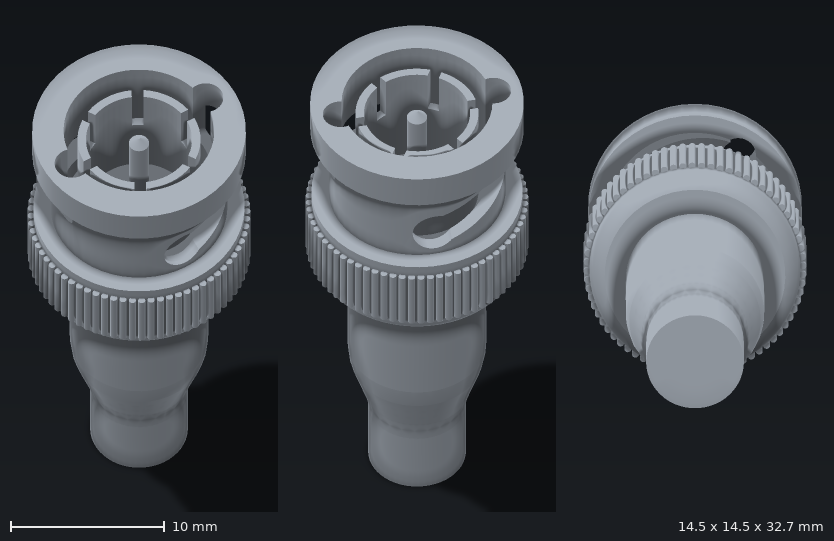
import cadquery as cq
import math

ferrule_shoulder_z = 17.17
nut_bottom_z = 18.0
knurl_bottom_z = 19.48
knurl_top_z = 23.6
collar_top_z = 24.38
head_bottom_z = 30.27
top_z = 32.69

collar_radius = 6.86
collar_rounding = 1.6
barrel_radius = 5.75
head_radius = 6.94
bore_radius = 4.9
bore_floor_z = collar_top_z

rib_count = 72
rib_radius = 0.23
knurl_radius = 7.24
rib_centre_radius = knurl_radius - rib_radius

slot_count = 2
channel_pitch = 9.5
channel_height = 2.55
channel_turn = 90.0
channel_rise = channel_pitch * channel_turn / 360
locking_hole_radius = 1.48
locking_hole_z = 26.37
entry_radius = 1.15
entry_centre_y = 5.08
entry_bottom_fillet = 0.4
entry_bottom_z = locking_hole_z + channel_rise - channel_height / 2
wall_clearance = 0.5

cable_radius = 3.175
ferrule_radius = 4.5
taper_bottom_z = 5.25
taper_top_z = 9.42
taper_blend_radius = 5.0
selection_margin = 1.0
neck_radius = 3.79

contact_outer_radius = 4.0
contact_inner_radius = 3.45
contact_top_z = 31.7
slit_count = 6
slit_width = 0.76
slit_bottom_z = 28.6

pin_radius = 0.66
pin_shoulder_z = 31.31
pin_tip_radius = 0.06
pin_tip_z = 31.86


def cylinder(radius, bottom_z, upper_z):
    """Upright cylinder on the main axis."""
    return cq.Workplane("XY", origin=(0, 0, bottom_z)).circle(radius).extrude(upper_z - bottom_z)


def make_knurl():
    """Ring of half-round ribs, each rooted in the collar."""
    return (
        cq.Workplane("XY", origin=(0, 0, knurl_bottom_z))
        .polarArray(rib_centre_radius, 0, 360, rib_count)
        .circle(rib_radius)
        .extrude(knurl_top_z - knurl_bottom_z)
    )


def make_bayonet_cutters():
    """Entry notch on the -Y side, helical channel, and locking hole on the -X side."""
    entry = (
        cq.Workplane("XY", origin=(0, -entry_centre_y, entry_bottom_z))
        .circle(entry_radius)
        .extrude(top_z - entry_bottom_z)
        .faces("<Z")
        .edges()
        .fillet(entry_bottom_fillet)
    )

    wall_middle_radius = (bore_radius + barrel_radius) / 2
    cutter_depth = barrel_radius - bore_radius + 2 * wall_clearance
    helix = cq.Wire.makeHelix(channel_pitch, channel_rise, wall_middle_radius, lefthand=True)
    channel = (
        cq.Workplane("XZ", origin=(wall_middle_radius, 0, 0))
        .rect(cutter_depth, channel_height)
        .sweep(cq.Workplane(helix), isFrenet=True)
        .rotate((0, 0, 0), (0, 0, 1), 180)
        .mirror("XZ")
        .translate((0, 0, locking_hole_z))
    )

    locking_hole = (
        cq.Workplane("YZ", origin=(-head_radius, 0, locking_hole_z))
        .circle(locking_hole_radius)
        .extrude(head_radius - contact_inner_radius)
    )
    return [entry, channel, locking_hole]


def make_collar():
    """Grip collar whose lower edge is rounded by an arc that is tangent to its side."""
    rounding_height = knurl_bottom_z - nut_bottom_z
    arc_centre_radius = collar_radius - collar_rounding
    bottom_radius = arc_centre_radius + math.sqrt(collar_rounding**2 - rounding_height**2)
    return (
        cq.Workplane("XZ")
        .moveTo(0, nut_bottom_z)
        .lineTo(bottom_radius, nut_bottom_z)
        .radiusArc((collar_radius, knurl_bottom_z), -collar_rounding)
        .lineTo(collar_radius, collar_top_z)
        .lineTo(0, collar_top_z)
        .close()
        .revolve(360, (0, 0, 0), (0, 1, 0))
    )


def make_coupling_nut():
    nut = (
        make_collar()
        .union(make_knurl())
        .union(cylinder(barrel_radius, collar_top_z, head_bottom_z))
        .union(cylinder(head_radius, head_bottom_z, top_z))
        .cut(cylinder(bore_radius, bore_floor_z, top_z))
        .cut(cylinder(neck_radius, nut_bottom_z, bore_floor_z))
    )
    cutters = make_bayonet_cutters()
    for index in range(slot_count):
        angle = index * 360 / slot_count
        for cutter in cutters:
            nut = nut.cut(cutter.rotate((0, 0, 0), (0, 0, 1), angle))
    return nut


def make_ferrule():
    """Cable sleeve that widens through a blended taper into the crimp ferrule."""
    ferrule = (
        cq.Workplane("XZ")
        .lineTo(cable_radius, 0)
        .lineTo(cable_radius, taper_bottom_z)
        .lineTo(ferrule_radius, taper_top_z)
        .lineTo(ferrule_radius, ferrule_shoulder_z)
        .lineTo(0, ferrule_shoulder_z)
        .close()
        .revolve(360, (0, 0, 0), (0, 1, 0))
    )
    taper_ends = cq.selectors.BoxSelector(
        (-head_radius, -head_radius, taper_bottom_z - selection_margin),
        (head_radius, head_radius, taper_top_z + selection_margin),
    )
    return ferrule.edges("%CIRCLE").edges(taper_ends).fillet(taper_blend_radius)


def make_contact_ring():
    """Outer contact sleeve, slit into spring fingers."""
    ring = cylinder(contact_outer_radius, bore_floor_z, contact_top_z).cut(
        cylinder(contact_inner_radius, bore_floor_z, contact_top_z)
    )
    slit_height = contact_top_z - slit_bottom_z
    for index in range(slit_count):
        slit = (
            cq.Workplane("XY", origin=(0, 0, slit_bottom_z))
            .center(0, (contact_outer_radius + contact_inner_radius) / 2)
            .rect(slit_width, 2 * (contact_outer_radius - contact_inner_radius))
            .extrude(slit_height)
            .rotate((0, 0, 0), (0, 0, 1), index * 360 / slit_count)
        )
        ring = ring.cut(slit)
    return ring


def make_pin():
    """Centre contact with a conical tip."""
    return (
        cq.Workplane("XZ")
        .moveTo(0, bore_floor_z)
        .lineTo(pin_radius, bore_floor_z)
        .lineTo(pin_radius, pin_shoulder_z)
        .lineTo(pin_tip_radius, pin_tip_z)
        .lineTo(0, pin_tip_z)
        .close()
        .revolve(360, (0, 0, 0), (0, 1, 0))
    )


def make_connector_body():
    neck = cylinder(neck_radius, ferrule_shoulder_z, bore_floor_z)
    return make_ferrule().union(neck).union(make_contact_ring()).union(make_pin())


coupling_nut = make_coupling_nut()
connector_body = make_connector_body()
result = cq.Compound.makeCompound([coupling_nut.solids().val(), connector_body.solids().val()])